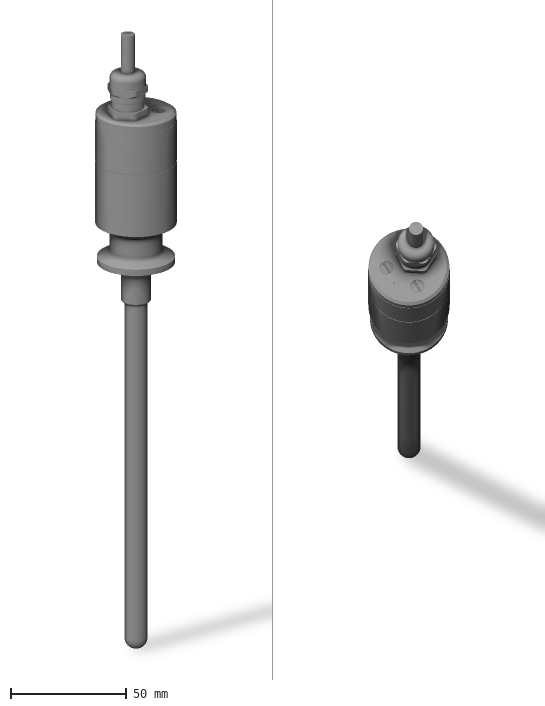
import cadquery as cq
import math

rod_diameter = 10.0
sleeve_diameter = 13.0
sleeve_bottom = 161.0
sleeve_chamfer = 1.5
flange_bottom = 180.0
flange_diameter = 34.0
flange_rim_height = 3.0
flange_cone_height = 2.5
flange_cone_fillet = 1.2
neck_diameter = 23.0

housing_diameter = 35.5
housing_bottom_cone_start = 194.7
housing_bottom = 198.5
joint_bottom = 227.0
joint_width = 0.5
joint_diameter = 34.8
cap_diameter = 35.0
cap_bottom = 246.2
housing_top = 250.5
cap_chamfer_width = 1.3
cap_chamfer_height = 1.0

gland_angle = -63.5
gland_offset = 5.8
control_radius = 9.8
screw_spread = 54.0
lamp_diameter = 3.0
lamp_depth = 0.15
screw_diameter = 6.0
screw_recess = 0.5
slot_length = 5.0
slot_width = 1.0
slot_depth = 0.5

hex_across_flats = 15.8
hex_corner_diameter = 17.5
hex_turn = -5.0
base_hex_top = 254.0
gland_neck_diameter = 14.0
collar_bottom = 258.3
collar_diameter = 15.5
nut_bottom = 261.0
nut_hex_top = 264.5
nut_chamfer_height = 1.7
nut_diameter = 15.8
nut_top = 270.5
nut_rounding = 2.5
cable_diameter = 6.0
cable_top = 288.0


def polar(radius, angle):
    """Point at an angle in degrees around the housing axis."""
    return (radius * math.cos(math.radians(angle)), radius * math.sin(math.radians(angle)))


def disc(diameter, bottom, top, center=(0, 0)):
    """Upright cylinder between two heights."""
    plane = cq.Workplane("XY").workplane(offset=bottom).center(*center)
    return plane.circle(diameter / 2).extrude(top - bottom)


def make_body():
    """Turned rod, sleeve, flange and housing, as one revolved outline."""
    rod = rod_diameter / 2
    sleeve = sleeve_diameter / 2
    flange = flange_diameter / 2
    neck = neck_diameter / 2
    housing = housing_diameter / 2
    joint = joint_diameter / 2
    cap = cap_diameter / 2
    flange_rim_top = flange_bottom + flange_rim_height
    cone_top = flange_rim_top + flange_cone_height
    tip_mid = rod * math.sqrt(0.5)
    outline = (
        cq.Workplane("XZ")
        .moveTo(0, 0)
        .threePointArc((tip_mid, rod - tip_mid), (rod, rod))
        .lineTo(rod, sleeve_bottom)
        .lineTo(sleeve, sleeve_bottom + sleeve_chamfer)
        .lineTo(sleeve, flange_bottom)
        .lineTo(flange, flange_bottom)
        .lineTo(flange, flange_rim_top)
        .lineTo(neck, cone_top)
        .lineTo(neck, housing_bottom_cone_start)
        .lineTo(housing, housing_bottom)
        .lineTo(housing, joint_bottom)
        .lineTo(joint, joint_bottom)
        .lineTo(joint, joint_bottom + joint_width)
        .lineTo(housing, joint_bottom + joint_width)
        .lineTo(housing, cap_bottom)
        .lineTo(cap, cap_bottom)
        .lineTo(cap, housing_top - cap_chamfer_height)
        .lineTo(cap - cap_chamfer_width, housing_top)
        .lineTo(0, housing_top)
        .close()
    )
    body = outline.revolve(360, (0, 0, 0), (0, 1, 0))
    return body.edges(cq.selectors.NearestToPointSelector((0, 0, cone_top))).fillet(flange_cone_fillet)


def make_screw_cut(center):
    """Shallow round recess with a screwdriver slot in its floor."""
    recess_floor = housing_top - screw_recess
    recess = disc(screw_diameter, recess_floor, housing_top, center)
    slot_plane = cq.Workplane("XY").workplane(offset=recess_floor - slot_depth).center(*center)
    slot = slot_plane.rect(slot_length, slot_width).extrude(slot_depth)
    return recess.union(slot)


def make_hex(center, bottom, top):
    """Hexagonal prism with corners trimmed round, turned about its own axis."""
    across_corners = hex_across_flats / math.cos(math.radians(30))
    return (
        cq.Workplane("XY")
        .workplane(offset=bottom)
        .polygon(6, across_corners)
        .extrude(top - bottom)
        .intersect(disc(hex_corner_diameter, bottom, top))
        .rotate((0, 0, 0), (0, 0, 1), hex_turn)
        .translate((*center, 0))
    )


def make_gland(center):
    """Hexagonal base, necks, chamfered nut with a rounded top, and the cable."""
    base = make_hex(center, housing_top, base_hex_top)
    neck = disc(gland_neck_diameter, base_hex_top, collar_bottom, center)
    collar = disc(collar_diameter, collar_bottom, nut_bottom, center)
    chamfered_envelope = (
        disc(hex_across_flats + 2 * nut_chamfer_height, nut_bottom, nut_hex_top, center)
        .faces("<Z")
        .chamfer(nut_chamfer_height)
    )
    nut_hex = make_hex(center, nut_bottom, nut_hex_top).intersect(chamfered_envelope)
    nut = disc(nut_diameter, nut_hex_top, nut_top, center).faces(">Z").edges().fillet(nut_rounding)
    cable = disc(cable_diameter, nut_top, cable_top, center)
    return base.union(neck).union(collar).union(nut_hex).union(nut).union(cable)


lamp_angle = gland_angle + 180
result = make_body()
for screw_angle in (lamp_angle - screw_spread, lamp_angle + screw_spread):
    result = result.cut(make_screw_cut(polar(control_radius, screw_angle)))
lamp_center = polar(control_radius, lamp_angle)
result = result.cut(disc(lamp_diameter, housing_top - lamp_depth, housing_top, lamp_center))
result = result.union(make_gland(polar(gland_offset, gland_angle)))